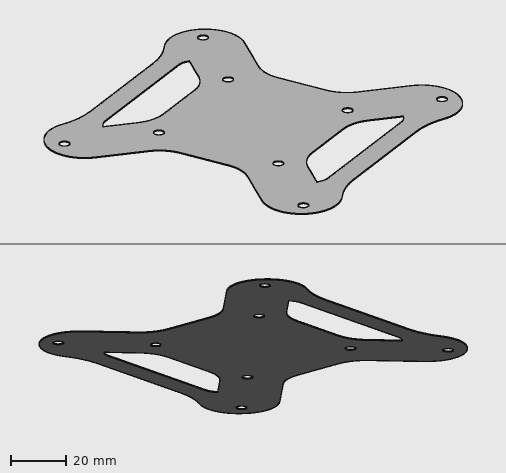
import cadquery as cq
import math

length = 120.4
width = 116.5
thickness = 0.41

lobe_radius = 14.8
lobe_x = length / 2 - lobe_radius
lobe_y = width / 2 - lobe_radius
side_x = 55.1
edge_y = 35.3
side_blend_radius = 30.1
edge_blend_radius = 15.0

window_outer_x = 46.6
window_inner_x = 31.2
window_corner_y = 17.5
window_blend_radius = 15.0
window_tip_x = 44.8
window_tip_radius = 7.2

hole_diameter = 4.0
outer_hole_spacing = 100.0
inner_hole_spacing = outer_hole_spacing / 2

diagonal = math.sqrt(0.5)
blend_tangent = math.tan(math.radians(22.5))


def mirrored_in_x_and_y(quarter):
    """Complete a quarter solid lying in the +X +Y quadrant."""
    half = quarter.union(quarter.mirror("YZ"))
    return half.union(half.mirror("XZ"))


def plate_quarter():
    """One quadrant: straight side, concave blend, lobe, 45 degree flank, straight edge."""
    blend_x = side_x + side_blend_radius
    centre_distance = side_blend_radius + lobe_radius
    blend_y = lobe_y - math.sqrt(centre_distance**2 - (blend_x - lobe_x) ** 2)
    lobe_share = lobe_radius / centre_distance
    lobe_start = (
        lobe_x + (blend_x - lobe_x) * lobe_share,
        lobe_y + (blend_y - lobe_y) * lobe_share,
    )

    flank_start = (lobe_x - lobe_radius * diagonal, lobe_y + lobe_radius * diagonal)
    flank_corner_x = flank_start[0] - (flank_start[1] - edge_y)
    edge_setback = edge_blend_radius * blend_tangent
    flank_end = (
        flank_corner_x + edge_setback * diagonal,
        edge_y + edge_setback * diagonal,
    )
    lobe_middle = (lobe_x + lobe_radius * diagonal, lobe_y + lobe_radius * diagonal)

    return (
        cq.Workplane("XY")
        .lineTo(side_x, 0)
        .lineTo(side_x, blend_y)
        .radiusArc(lobe_start, side_blend_radius)
        .threePointArc(lobe_middle, flank_start)
        .lineTo(*flank_end)
        .radiusArc((flank_corner_x - edge_setback, edge_y), edge_blend_radius)
        .lineTo(0, edge_y)
        .close()
        .extrude(thickness)
    )


def window_quarter():
    """Upper half of the right window: blended 45 degree inner corner and a pointed tip."""
    setback = window_blend_radius * blend_tangent
    tip_y = window_corner_y + window_tip_x - window_inner_x
    tip_inset = window_outer_x - window_tip_x
    tip_arc_height = math.sqrt(window_tip_radius**2 - (window_tip_radius - tip_inset) ** 2)
    blend_end = (
        window_inner_x + setback * diagonal,
        window_corner_y + setback * diagonal,
    )

    return (
        cq.Workplane("XY")
        .moveTo(window_inner_x, 0)
        .lineTo(window_inner_x, window_corner_y - setback)
        .radiusArc(blend_end, window_blend_radius)
        .lineTo(window_tip_x, tip_y)
        .radiusArc((window_outer_x, tip_y - tip_arc_height), window_tip_radius)
        .lineTo(window_outer_x, 0)
        .close()
        .extrude(thickness)
    )


plate = mirrored_in_x_and_y(plate_quarter())
windows = mirrored_in_x_and_y(window_quarter())
result = plate.cut(windows).clean()

for spacing in (outer_hole_spacing, inner_hole_spacing):
    holes = (
        cq.Workplane("XY")
        .rarray(spacing, spacing, 2, 2)
        .circle(hole_diameter / 2)
        .extrude(thickness)
    )
    result = result.cut(holes)